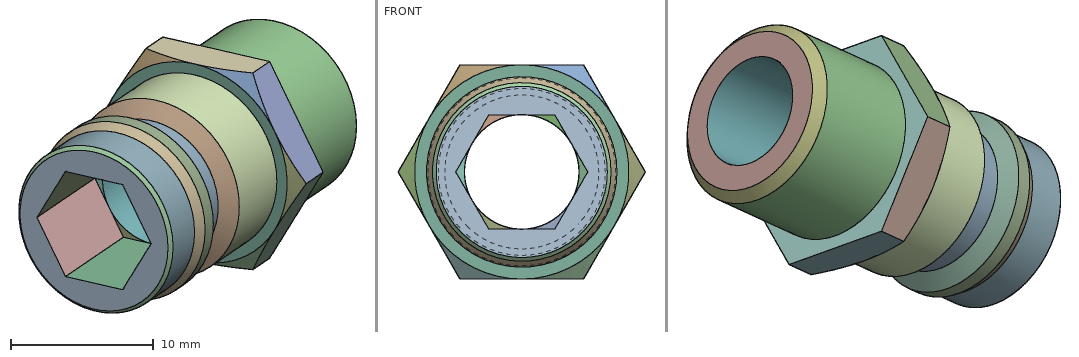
import cadquery as cq
import math

length = 26.0
nose_chamfer = 0.25
nose_end = 3.25
collar_start = 4.0
collar_end = 5.15
groove_start = 5.95
groove_end = 8.0
body_start = 8.75
hex_start = 14.0
hex_end = 17.0
shank_chamfer_length = 0.75

nose_diameter = 12.5
body_diameter = 13.35
groove_diameter = 10.8
shank_diameter = 13.15
shank_tip_diameter = 11.7
bore_diameter = 8.0

hex_flats = 15.0
hex_chamfer_angle = 30.0
socket_flats = bore_diameter
socket_depth = 8.05


def revolve_about_y(points):
    """Revolve a closed (radius, Y) outline a full turn about the Y axis."""
    return cq.Workplane("XY").polyline(points).close().revolve(360, (0, 0, 0), (0, 1, 0))


def hex_prism(flats, start, end):
    """Hexagonal prism along Y with two corners on the X axis."""
    across_corners = flats / math.cos(math.radians(30))
    return (
        cq.Workplane("XZ", origin=(0, start, 0))
        .polygon(6, across_corners)
        .extrude(start - end)
    )


def turned_body():
    nose_radius = nose_diameter / 2
    body_radius = body_diameter / 2
    groove_radius = groove_diameter / 2
    shank_radius = shank_diameter / 2
    return revolve_about_y([
        (0, 0),
        (nose_radius - nose_chamfer, 0),
        (nose_radius, nose_chamfer),
        (nose_radius, nose_end),
        (body_radius, collar_start),
        (body_radius, collar_end),
        (groove_radius, groove_start),
        (groove_radius, groove_end),
        (body_radius, body_start),
        (body_radius, hex_start),
        (shank_radius, hex_start),
        (shank_radius, length - shank_chamfer_length),
        (shank_tip_diameter / 2, length),
        (0, length),
    ])


def wrench_hex():
    """Hexagon whose corners are cut by a cone on the socket side."""
    cone_start_radius = hex_flats / 2
    cone_growth = (hex_end - hex_start) / math.tan(math.radians(hex_chamfer_angle))
    cone_end_radius = cone_start_radius + cone_growth
    cone = revolve_about_y([
        (0, hex_start),
        (cone_start_radius, hex_start),
        (cone_end_radius, hex_end),
        (0, hex_end),
    ])
    return hex_prism(hex_flats, hex_start, hex_end).intersect(cone)


def through_bore():
    return cq.Workplane("XZ").circle(bore_diameter / 2).extrude(-length)


socket = hex_prism(socket_flats, 0, socket_depth)
result = turned_body().union(wrench_hex()).cut(through_bore()).cut(socket)